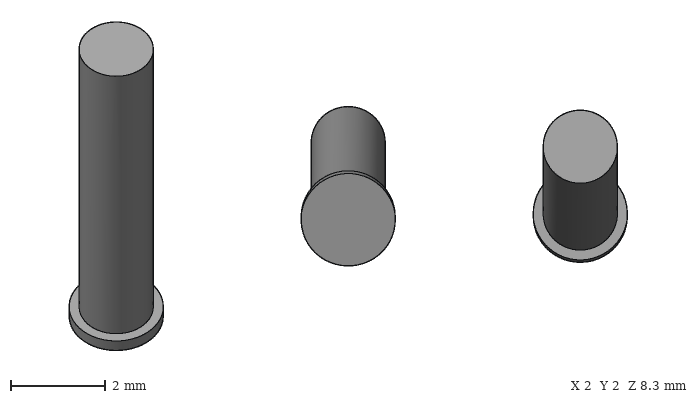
import cadquery as cq

total_length = 8.3
head_diameter = 2.0
head_thickness = 0.3
shank_diameter = 1.58
shank_length = total_length - head_thickness

head = cq.Workplane("XY").circle(head_diameter / 2).extrude(head_thickness)

result = head.faces(">Z").workplane().circle(shank_diameter / 2).extrude(shank_length)